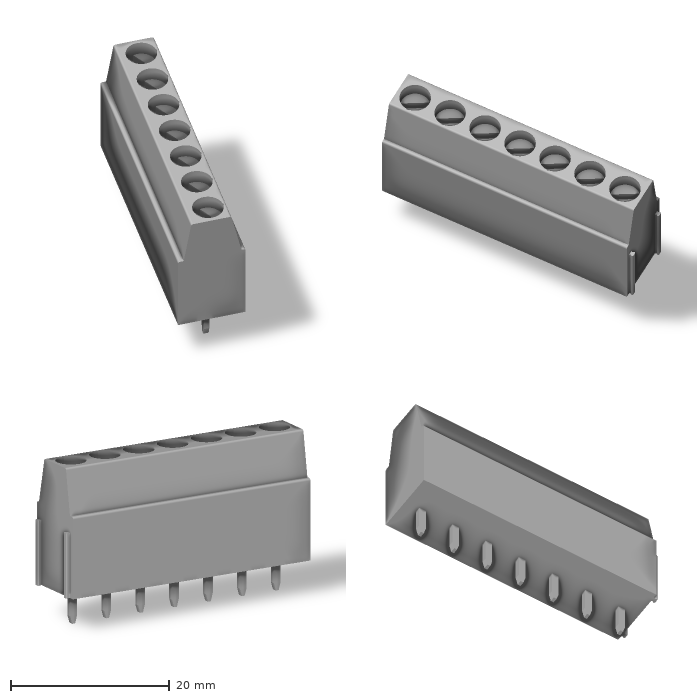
import cadquery as cq

overall_length = 35.55
rail_reach = 0.57
poles = 7
body_length = overall_length - rail_reach
pitch = body_length / poles
body_left = -overall_length / 2 + rail_reach
pole_centres = [body_left + (i + 0.5) * pitch for i in range(poles)]

overall_height = 21.3
pin_length = 4.5
body_height = overall_height - pin_length
body_depth = 8.9
front_y = -body_depth / 2
back_y = body_depth / 2
shoulder_z = 10.77
front_shoulder = 0.75
back_shoulder = 0.55
front_top_inset = 1.75
back_top_inset = 1.9
edge_radius = 0.3

well_y = 0.2
well_diameter = 3.98
screw_diameter = 3.8
screw_recess = 1.78
slot_width = 0.9
slot_depth = 1.1
slot_angle = 30.0
keyway_width = 0.32
keyway_depth = 0.07

rail_height = 8.55
rail_face_width = 0.55
rail_width = 0.75
rail_heel_width = 0.65
rail_waist_width = 0.43
rail_foot_width = 0.57
rail_chamfer = (rail_width - rail_face_width) / 2
rail_heel_depth = 0.3
rail_waist_depth = 0.32
back_rail_y = 3.52
front_rail_y = -3.45

pin_width = 1.0
pin_thickness = 0.7
pin_y = -0.1
pin_tip_width = 0.43
pin_tip_length = 1.03


def make_housing():
    """Stepped, tapered block with its four long upper edges rounded."""
    outline = [
        (front_y, 0),
        (back_y, 0),
        (back_y, shoulder_z),
        (back_y - back_shoulder, shoulder_z),
        (back_y - back_top_inset, body_height),
        (front_y + front_top_inset, body_height),
        (front_y + front_shoulder, shoulder_z),
        (front_y, shoulder_z),
    ]
    block = cq.Workplane("YZ", origin=(body_left, 0, 0)).polyline(outline).close().extrude(body_length)
    ridge_edges = block.faces(">Z").edges("|X")
    shoulder_edges = block.faces("<Y or >Y").edges(">Z")
    return ridge_edges.add(shoulder_edges).fillet(edge_radius)


def make_well(x):
    """Material removed above and around one slotted screw head, with a keyway in the back wall."""
    screw_top = body_height - screw_recess
    floor = screw_top - slot_depth
    bore = cq.Workplane(origin=(x, well_y, floor)).circle(well_diameter / 2).extrude(body_height - floor)
    head = cq.Workplane(origin=(x, well_y, floor)).circle(screw_diameter / 2).extrude(slot_depth)
    slot = (
        cq.Workplane(origin=(x, well_y, floor))
        .transformed(rotate=(0, 0, slot_angle))
        .rect(2 * well_diameter, slot_width)
        .extrude(slot_depth)
    )
    keyway_reach = well_diameter / 2 + keyway_depth
    keyway = cq.Workplane("XY").box(
        keyway_width, keyway_reach, screw_recess, centered=(True, False, False)
    ).translate((x, well_y, screw_top))
    return bore.cut(head.cut(slot)).union(keyway)


def make_rail(y):
    """Coupling rail: a chamfered head that narrows to a waist and flares again at the end wall."""
    tip_x = -overall_length / 2
    flank = [
        (tip_x, rail_face_width / 2),
        (tip_x + rail_chamfer, rail_width / 2),
        (tip_x + rail_heel_depth, rail_heel_width / 2),
        (tip_x + rail_waist_depth, rail_waist_width / 2),
        (body_left, rail_foot_width / 2),
    ]
    opposite_flank = [(x, -half_width) for x, half_width in reversed(flank)]
    rail = cq.Workplane("XY").polyline(flank + opposite_flank).close().extrude(rail_height)
    return rail.translate((0, y, 0))


def make_pin(x):
    """Flat solder pin narrowing to its tip."""
    taper_z = pin_tip_length - pin_length
    outline = [
        (x - pin_width / 2, 0),
        (x - pin_width / 2, taper_z),
        (x - pin_tip_width / 2, -pin_length),
        (x + pin_tip_width / 2, -pin_length),
        (x + pin_width / 2, taper_z),
        (x + pin_width / 2, 0),
    ]
    pin = cq.Workplane("XZ").polyline(outline).close().extrude(pin_thickness / 2, both=True)
    return pin.translate((0, pin_y, 0))


result = make_housing()
for rail_y in (front_rail_y, back_rail_y):
    result = result.union(make_rail(rail_y))
for pole_x in pole_centres:
    result = result.cut(make_well(pole_x)).union(make_pin(pole_x))